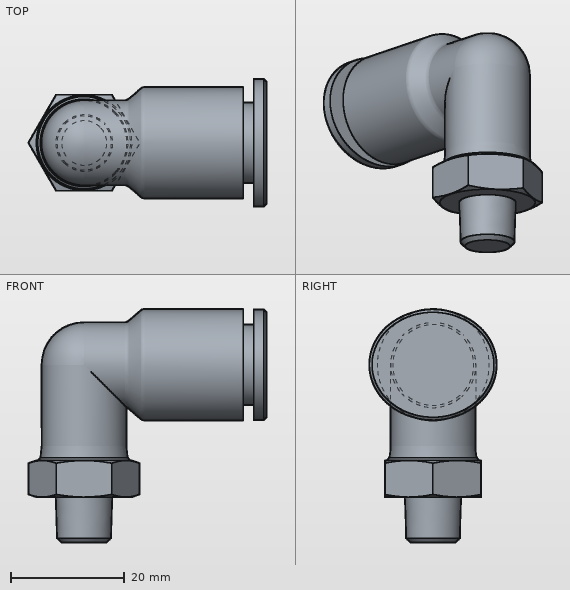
import cadquery as cq
import math


stub_length = 8.0
stub_root_radius = 5.0
stub_taper = 1 / 32
stub_chamfer = 0.8

hex_across_flats = 17.0
hex_height = 6.5
hex_face_radius = 8.4
hex_corner_drop = 0.5

elbow_radius = 7.5
elbow_axis_height = 23.35

foot_height = 2.5
foot_radius = 7.7
foot_lip_height = 0.5
foot_lip_radius = 8.15

socket_radius = 9.85
cone_start = 7.56
cone_end = 10.3
cone_blend_radius = 1.0
socket_end = 28.1
socket_edge_radius = 0.15

neck_radius = 7.12
flange_start = 29.9
flange_end = 32.2
flange_width = 22.5
flange_height = 19.5
flange_chamfer = 0.5

hex_corner_radius = hex_across_flats / math.sqrt(3)


def across_x(position):
    """Workplane normal to +X, centred on the socket axis at the given X."""
    return cq.Workplane("YZ", origin=(position, 0, elbow_axis_height))


def thread_stub():
    tip_radius = stub_root_radius - stub_taper * stub_length
    profile = (
        cq.Workplane("XZ")
        .moveTo(0, 0)
        .lineTo(stub_root_radius, 0)
        .lineTo(tip_radius, -stub_length)
        .lineTo(0, -stub_length)
        .close()
    )
    return profile.revolve(360, (0, 0), (0, 1)).faces("<Z").chamfer(stub_chamfer)


def hexagon():
    prism = cq.Workplane("XY").polygon(6, 2 * hex_corner_radius).extrude(hex_height)
    envelope = (
        cq.Workplane("XZ")
        .moveTo(0, 0)
        .lineTo(hex_face_radius, 0)
        .lineTo(hex_corner_radius, hex_corner_drop)
        .lineTo(hex_corner_radius, hex_height - hex_corner_drop)
        .lineTo(hex_face_radius, hex_height)
        .lineTo(0, hex_height)
        .close()
        .revolve(360, (0, 0), (0, 1))
    )
    return prism.intersect(envelope)


def stem():
    profile = (
        cq.Workplane("XZ")
        .moveTo(0, hex_height)
        .lineTo(foot_lip_radius, hex_height)
        .lineTo(foot_radius, hex_height + foot_lip_height)
        .lineTo(elbow_radius, hex_height + foot_height)
        .lineTo(elbow_radius, elbow_axis_height)
        .lineTo(0, elbow_axis_height)
        .close()
    )
    return profile.revolve(360, (0, 0), (0, 1))


def elbow_dome():
    return cq.Workplane("XY", origin=(0, 0, elbow_axis_height)).sphere(elbow_radius)


def socket():
    profile = (
        cq.Workplane("XZ", origin=(0, 0, elbow_axis_height))
        .moveTo(0, 0)
        .lineTo(0, elbow_radius)
        .lineTo(cone_start, elbow_radius)
        .lineTo(cone_end, socket_radius)
        .lineTo(socket_end, socket_radius)
        .lineTo(socket_end, 0)
        .close()
    )
    body = profile.revolve(360, (0, 0), (1, 0))

    for rim_position in (cone_start, cone_end):
        rim_centre = (rim_position, 0, elbow_axis_height)
        rim = cq.selectors.NearestToPointSelector(rim_centre)
        body = body.edges(rim).fillet(cone_blend_radius)
    return body.faces(">X").edges().fillet(socket_edge_radius)


def release_collar():
    neck = across_x(socket_end).circle(neck_radius).extrude(flange_start - socket_end)
    flange = (
        across_x(flange_start)
        .ellipse(flange_width / 2, flange_height / 2)
        .extrude(flange_end - flange_start)
        .faces(">X")
        .chamfer(flange_chamfer)
    )
    return neck.union(flange)


result = (
    hexagon()
    .union(thread_stub())
    .union(stem())
    .union(socket())
    .union(elbow_dome())
    .union(release_collar())
)